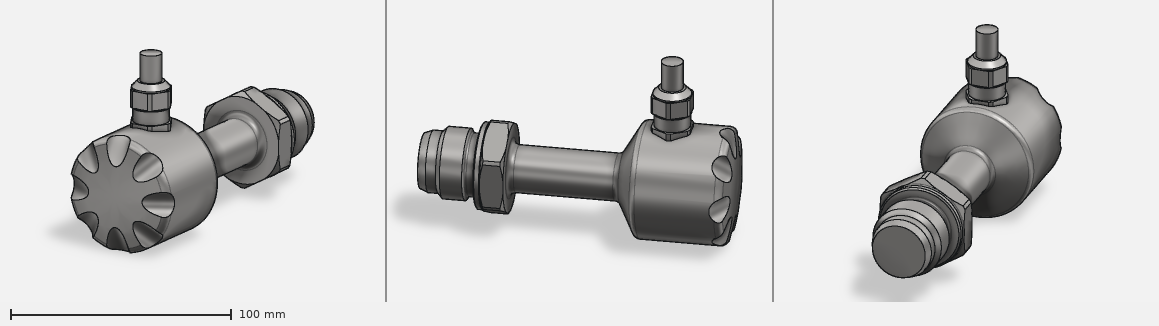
import cadquery as cq
import math

total_length = 145.4

drum_radius = 54.5 / 2
dome_radius = 116.3
cap_fillet = 3.5
cone_base_y = 44.5
cone_slope = math.radians(60)
cone_fillet = 3.0
tube_radius = 22.0 / 2

grip_count = 8
grip_radius = 7.0
grip_depth_y = 8.3
grip_tilt = 30.0
grip_length = 43.6

nut_y = 104.5
nut_length = 10.8
nut_across_flats = 40.7
nut_corner_radius = 46.0 / 2
nut_bevel_slope = math.radians(60)
nut_fillet = 3.0

tip_radius = 25.6 / 2
spigot_radius = 28.6 / 2
thread_radius = 33.2 / 2
relief_radius = 29.2 / 2
relief_fillet = 1.0
relief_slope = math.radians(60)
flange_radius = 40.0 / 2
flange_face_radius = 38.2 / 2
flange_bevel_length = 0.6
flange_fillet = 0.6
tip_taper_length = 3.9
thread_bevel_distance = 8.6
thread_end_distance = 21.1
flange_distance = 26.8

gland_y = 30.2
gland_base_z = 21.8
cable_radius = 10.0 / 2
total_height = 88.1
cable_top_z = total_height - drum_radius
gland_across_flats = 18.0
gland_corner_radius = 19.8 / 2
gland_body_radius = 16.7 / 2
gland_collar_radius = 17.7 / 2
gland_top_radius = 12.5 / 2
base_hex_top_z = 29.0
collar_bottom_z = 35.5
gland_nut_bottom_z = 36.2
gland_nut_top_z = 44.3
collar_top_z = 45.1
gland_top_z = 47.8

arc_mid_inset = 1 - math.sqrt(0.5)


def spin_about_y(profile):
    return profile.close().revolve(360, (0, 0, 0), (0, 1, 0))


def hexagon(plane, across_flats, length):
    """Hexagonal prism with two corners on the local X axis of the plane."""
    corner_diameter = across_flats / math.cos(math.pi / 6)
    return cq.Workplane(plane).polygon(6, corner_diameter).extrude(length)


def fillet_ring(body, radius, y, fillet):
    """Round the circular edge of the body that has this radius and lies at this Y."""
    tolerance = 0.01

    def is_ring(edge):
        return math.hypot(edge.arcCenter().y - y, edge.radius() - radius) < tolerance

    return body.edges("%CIRCLE").filter(is_ring).fillet(fillet)


def make_housing():
    dome_edge_y = dome_radius - math.sqrt(dome_radius**2 - drum_radius**2)
    dome_mid_x = drum_radius / 2
    dome_mid_y = dome_radius - math.sqrt(dome_radius**2 - dome_mid_x**2)
    cone_end_y = cone_base_y + (drum_radius - tube_radius) / math.tan(cone_slope)
    profile = (
        cq.Workplane("XY")
        .threePointArc((dome_mid_x, dome_mid_y), (drum_radius, dome_edge_y))
        .lineTo(drum_radius, cone_base_y)
        .lineTo(tube_radius, cone_end_y)
        .lineTo(tube_radius, nut_y)
        .lineTo(0, nut_y)
    )
    housing = spin_about_y(profile)
    housing = fillet_ring(housing, drum_radius, dome_edge_y, cap_fillet)
    housing = fillet_ring(housing, drum_radius, cone_base_y, cone_fillet)
    return fillet_ring(housing, tube_radius, cone_end_y, cone_fillet)


def make_grip():
    """Tilted cylinder at the top of the cap whose lowest line cuts the drum wall at grip_depth_y."""
    tilt = math.radians(grip_tilt)
    axis = cq.Vector(0, math.sin(tilt), math.cos(tilt))
    outward = cq.Vector(0, -math.cos(tilt), math.sin(tilt))
    center = cq.Vector(0, grip_depth_y, drum_radius) + outward * grip_radius
    start = center - axis * (grip_length / 2)
    return cq.Workplane(cq.Solid.makeCylinder(grip_radius, grip_length, start, axis))


def cut_grips(housing):
    grip = make_grip()
    for index in range(grip_count):
        housing = housing.cut(grip.rotate((0, 0, 0), (0, 1, 0), index * 360 / grip_count))
    return housing


def make_nut():
    """Hexagon with rounded corners, bevelled at both ends, with two corners on the Z axis."""
    nut_face_radius = flange_radius + flange_fillet
    bevel = (nut_corner_radius - nut_face_radius) / math.tan(nut_bevel_slope)
    nut_end_y = nut_y + nut_length
    envelope = spin_about_y(
        cq.Workplane("XY")
        .moveTo(0, nut_y)
        .lineTo(nut_face_radius, nut_y)
        .lineTo(nut_corner_radius, nut_y + bevel)
        .lineTo(nut_corner_radius, nut_end_y - bevel)
        .lineTo(nut_face_radius, nut_end_y)
        .lineTo(0, nut_end_y)
    )
    nut_plane = cq.Plane(origin=(0, nut_y, 0), xDir=(0, 0, 1), normal=(0, 1, 0))
    return hexagon(nut_plane, nut_across_flats, nut_length).intersect(envelope)


def make_nut_root():
    """Concave ring where the tube meets the nut."""
    mid = nut_fillet * arc_mid_inset
    return spin_about_y(
        cq.Workplane("XY")
        .moveTo(0, nut_y - nut_fillet)
        .lineTo(tube_radius, nut_y - nut_fillet)
        .threePointArc((tube_radius + mid, nut_y - mid), (tube_radius + nut_fillet, nut_y))
        .lineTo(0, nut_y)
    )


def make_fitting():
    nut_end_y = nut_y + nut_length
    flange_end_y = total_length - flange_distance
    thread_start_y = total_length - thread_end_distance
    thread_bevel_y = total_length - thread_bevel_distance
    mid = flange_fillet * arc_mid_inset
    relief_start_y = thread_start_y - (thread_radius - relief_radius) / math.tan(relief_slope)
    profile = (
        cq.Workplane("XY")
        .moveTo(0, nut_end_y)
        .lineTo(flange_radius + flange_fillet, nut_end_y)
        .threePointArc((flange_radius + mid, nut_end_y + mid), (flange_radius, nut_end_y + flange_fillet))
        .lineTo(flange_radius, flange_end_y - flange_bevel_length)
        .lineTo(flange_face_radius, flange_end_y)
        .lineTo(relief_radius, flange_end_y)
        .lineTo(relief_radius, relief_start_y)
        .lineTo(thread_radius, thread_start_y)
        .lineTo(thread_radius, thread_bevel_y - (thread_radius - spigot_radius))
        .lineTo(spigot_radius, thread_bevel_y)
        .lineTo(spigot_radius, total_length - tip_taper_length)
        .lineTo(tip_radius, total_length)
        .lineTo(0, total_length)
    )
    fitting = spin_about_y(profile)
    fitting = fillet_ring(fitting, relief_radius, relief_start_y, relief_fillet)
    return fillet_ring(fitting, relief_radius, flange_end_y, relief_fillet)


def make_gland():
    core = (
        cq.Workplane("XZ")
        .moveTo(0, gland_base_z)
        .lineTo(gland_body_radius, gland_base_z)
        .lineTo(gland_body_radius, collar_bottom_z)
        .lineTo(gland_collar_radius, collar_bottom_z)
        .lineTo(gland_collar_radius, collar_top_z)
        .lineTo(gland_top_radius, gland_top_z)
        .lineTo(cable_radius, gland_top_z)
        .lineTo(cable_radius, cable_top_z)
        .lineTo(0, cable_top_z)
        .close()
        .revolve(360, (0, 0, 0), (0, 1, 0))
    )
    corner_limit = cq.Workplane("XY").circle(gland_corner_radius).extrude(cable_top_z)
    for bottom_z, top_z in ((gland_base_z, base_hex_top_z), (gland_nut_bottom_z, gland_nut_top_z)):
        plane = cq.Plane(origin=(0, 0, bottom_z))
        core = core.union(hexagon(plane, gland_across_flats, top_z - bottom_z).intersect(corner_limit))
    return core.translate((0, gland_y, 0))


result = (
    cut_grips(make_housing())
    .union(make_nut())
    .union(make_nut_root())
    .union(make_fitting())
    .union(make_gland())
)